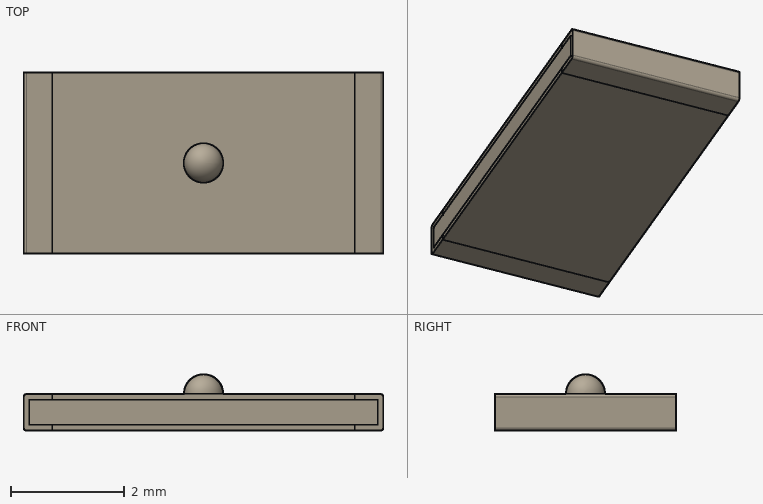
import cadquery as cq

length = 6.35
width = 3.2
block_height = 0.65

layer = 0.1
terminal_reach = 0.5
edge_radius = 0.05
dome_radius = 0.35

core_length = length - 2 * layer
core_height = block_height - 2 * layer
coating_length = length - 2 * terminal_reach


def plate(plate_length, height, bottom):
    """Full-width plate centred on X and Y, with its underside at the given Z."""
    return (
        cq.Workplane("XY")
        .workplane(offset=bottom)
        .box(plate_length, width, height, centered=(True, True, False))
    )


def make_terminal(side):
    """C-shaped end cap around the core; side is -1 for the -X end and +1 for the +X end."""
    cap_center = side * (length - terminal_reach) / 2
    outer_face = ">X" if side > 0 else "<X"
    cap = (
        cq.Workplane("XY")
        .box(terminal_reach, width, block_height, centered=(True, True, False))
        .translate((cap_center, 0, 0))
        .faces(outer_face)
        .edges("|Y")
        .fillet(edge_radius)
    )
    return cap.cut(core).solids()


def make_top_coating():
    """Top plate carrying a hemispherical dome at its centre."""
    dome = (
        cq.Workplane("XY")
        .sphere(dome_radius, angle1=0, angle2=90)
        .translate((0, 0, block_height))
    )
    return plate(coating_length, layer, block_height - layer).union(dome).solids()


core = plate(core_length, core_height, layer)
bottom_coating = plate(coating_length, layer, 0)
top_coating = make_top_coating()
terminals = [make_terminal(side) for side in (-1, 1)]

result = cq.Compound.makeCompound([
    core.val(),
    bottom_coating.val(),
    top_coating.val(),
    *[terminal.val() for terminal in terminals],
])